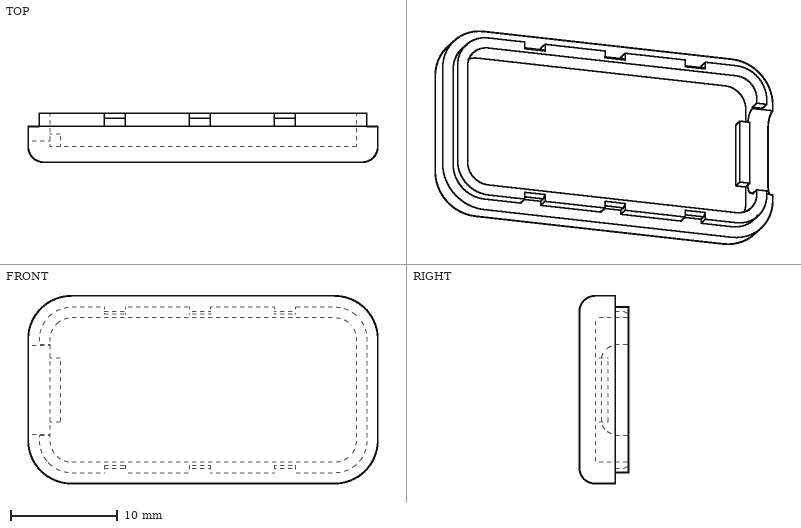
import cadquery as cq

LENGTH = 32.95
HEIGHT = 17.7
DEPTH = 4.65
CORNER_RADIUS = 4.1
FRONT_FILLET = 1.5

LIP_DEPTH = 1.25
LIP_INSET = 1.05
BODY_DEPTH = DEPTH - LIP_DEPTH

LIP_THICKNESS = 1.0
FLOOR_THICKNESS = 1.5
CAVITY_INSET = LIP_INSET + LIP_THICKNESS

NOTCH_WIDTH = 2.0
NOTCH_PITCH = 8.0
NOTCH_MIDDLE_X = -0.3
NOTCH_CUT = 0.4
NOTCH_BEVEL_LENGTH = 0.5
NOTCH_BEVEL_DROP = 0.27

PORT_HEIGHT = 8.35
PORT_BOTTOM_Y = 2.05
PORT_RADIUS = BODY_DEPTH - PORT_BOTTOM_Y
LIP_GAP_HEIGHT = 8.6

BAR_HEIGHT = 6.05
BAR_TOP_Y = 2.7
BAR_THICKNESS = 1.0


def rounded_block(inset, start_y, end_y):
    """Rounded rectangle, inset from the outer outline, extruded along +Y."""
    return (
        cq.Workplane("XZ", origin=(0, start_y, 0))
        .rect(LENGTH - 2 * inset, HEIGHT - 2 * inset)
        .extrude(start_y - end_y)
        .edges("|Y")
        .fillet(CORNER_RADIUS - inset)
    )


def make_shell():
    body = rounded_block(0, 0, BODY_DEPTH).faces("<Y").edges().fillet(FRONT_FILLET)
    lip = rounded_block(LIP_INSET, BODY_DEPTH, DEPTH)
    cavity = rounded_block(CAVITY_INSET, FLOOR_THICKNESS, DEPTH)
    return body.union(lip).cut(cavity)


def snap_notch(x):
    """Cutter for one notch on the +Z side of the lip, bevelled inward at the back."""
    lip_z = HEIGHT / 2 - LIP_INSET
    floor_z = lip_z - NOTCH_CUT
    return (
        cq.Workplane("YZ", origin=(x - NOTCH_WIDTH / 2, 0, 0))
        .moveTo(BODY_DEPTH, lip_z)
        .lineTo(BODY_DEPTH, floor_z)
        .lineTo(DEPTH - NOTCH_BEVEL_LENGTH, floor_z)
        .lineTo(DEPTH, floor_z - NOTCH_BEVEL_DROP)
        .lineTo(DEPTH, lip_z)
        .close()
        .extrude(NOTCH_WIDTH)
    )


def make_port():
    """Cutter through the -X wall: rounded in the body, slightly taller in the lip."""
    opening = (
        cq.Workplane("XY")
        .box(CAVITY_INSET, DEPTH, PORT_HEIGHT, centered=(False, False, True))
        .edges("|X and <Y")
        .fillet(PORT_RADIUS)
        .translate((-LENGTH / 2, PORT_BOTTOM_Y, 0))
    )
    lip_gap = (
        cq.Workplane("XY")
        .box(CAVITY_INSET, LIP_DEPTH, LIP_GAP_HEIGHT, centered=(False, False, True))
        .translate((-LENGTH / 2, BODY_DEPTH, 0))
    )
    return opening.union(lip_gap)


def make_floor_bar():
    """Bar standing on the cavity floor just inside the port."""
    return (
        cq.Workplane("XY")
        .box(BAR_THICKNESS, BAR_TOP_Y - FLOOR_THICKNESS, BAR_HEIGHT, centered=(False, False, True))
        .translate((CAVITY_INSET - LENGTH / 2, FLOOR_THICKNESS, 0))
    )


result = make_shell().cut(make_port()).union(make_floor_bar())
for step in (-1, 0, 1):
    notch = snap_notch(NOTCH_MIDDLE_X + step * NOTCH_PITCH)
    result = result.cut(notch).cut(notch.mirror("XY"))